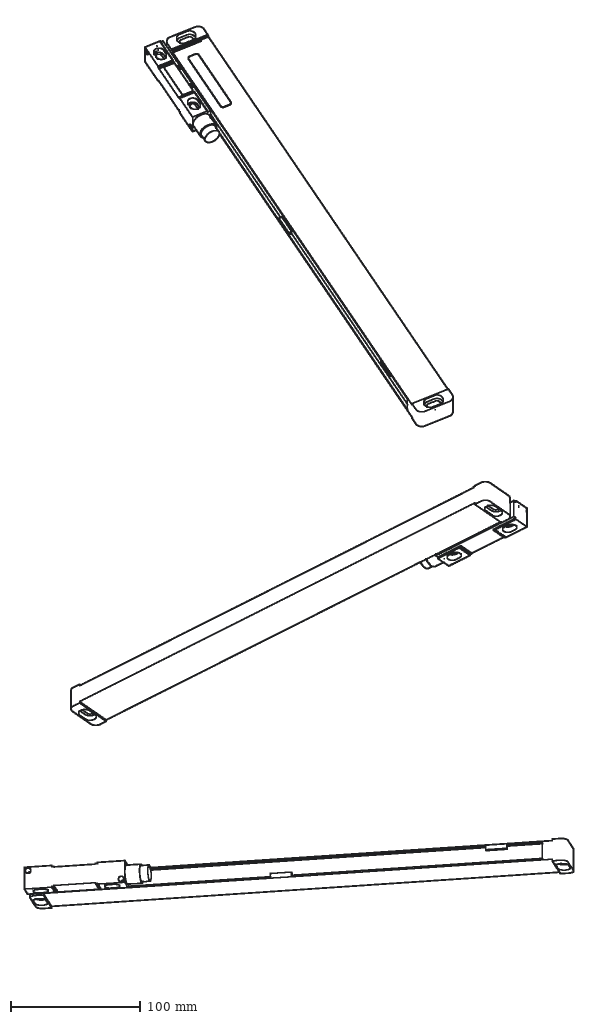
import cadquery as cq

TOTAL_LENGTH = 425.0
TOTAL_WIDTH = 49.0
HEIGHT = 18.0
SCALE_WIDTH = 32.0
CAP_LENGTH = 11.5
CAP_CORNER_RADIUS = 5.0
SURFACE_DROP = 1.3

CHANNEL_END_WALL = 19.0
CHANNEL_DEPTH = 2.5
LIP_THICKNESS = 1.3
TAB_LENGTH = 16.5
TAB_HEIGHT = 2.5
LOWER_TAB_X = 199.5
UPPER_TAB_X = 369.5

CAP_HOLE_INSET = 6.0
CAP_HOLE_STRAIGHT = 6.0
CAP_HOLE_WIDTH = 5.0
CAP_BORE_WIDTH = 9.8
CAP_BORE_DEPTH = 4.2

LABEL_START = 24.0
LABEL_LENGTH = 57.5
LABEL_WIDTH = 9.0
LABEL_CORNER_RADIUS = 2.0
LABEL_BACK_INSET = 15.5
LABEL_HEIGHT = 1.0

SEAL_WIDTH = 1.3
SEAL_HEIGHT = 1.0
SHORT_SEAL_HEIGHT = 0.5
SHORT_SEAL_BACK_INSET = 7.2

HEAD_LENGTH = 79.5
HEAD_WIDTH = 15.7
HEAD_STEP_WIDTH = 2.5
HEAD_STEP_DEPTH = 1.3

WAIST_INSET = 21.5
WAIST_LEDGE = 1.5
LEDGE_DEPTH = 1.0
WAIST_DEPTH = 1.3

PLATE_MARGIN = 0.5
PLATE_FRONT_INSET = 4.0
PLATE_CORNER_RADIUS = 1.3
PLATE_HEIGHT = 0.5

HEAD_HOLE_INSET = 11.5
HEAD_HOLE_Y = 7.2
HEAD_HOLE_STRAIGHT = 4.0
HEAD_HOLE_WIDTH = 4.5
HEAD_BORE_WIDTH = 8.0
HEAD_BORE_DEPTH = 5.0

CORNER_HOLE_RADIUS = 2.0
CORNER_HOLE_INSET = 3.0
CORNER_HOLE_DEPTH = 9.0
CORNER_PILOT_RADIUS = 1.0
CORNER_PILOT_DEPTH = 11.5

STRIP_SLOT_STRAIGHT = 3.0
STRIP_SLOT_WIDTH = 1.0
STRIP_SLOT_DEPTH = 2.0
STRIP_SLOT_SPACING = 20.5

COLLAR_DIAMETER = 15.0
COLLAR_LENGTH = 11.5
CABLE_END_DIAMETER = 12.8
CABLE_END_LENGTH = 6.5

SCALE_FRONT = TOTAL_WIDTH - SCALE_WIDTH
SCALE_MIDDLE_Y = SCALE_FRONT + SCALE_WIDTH / 2
PROFILE_BOTTOM = SURFACE_DROP
PROFILE_TOP = HEIGHT - SURFACE_DROP
PROFILE_HEIGHT = PROFILE_TOP - PROFILE_BOTTOM


def block(x, y, z, length, width, height):
    """Box with its lowest corner at (x, y, z)."""
    return cq.Workplane("XY").box(length, width, height, centered=False).translate((x, y, z))


def oblong(x, y, z, straight, width, height, angle):
    """Upright prism with an oblong outline, round at both ends."""
    outline = cq.Workplane("XY", origin=(x, y, z)).slot2D(straight + width, width, angle)
    return outline.extrude(height)


def counterbored_oblong(x, y, straight, hole_width, bore_width, bore_depth, angle):
    """Cutter for an oblong through hole with a counterbore at the top and the bottom."""
    cutter = oblong(x, y, 0, straight, hole_width, HEIGHT, angle)
    for z in (0, HEIGHT - bore_depth):
        cutter = cutter.union(oblong(x, y, z, straight, bore_width, bore_depth, angle))
    return cutter


def end_cap(x, outer_edges):
    """Scale end cap starting at x, with its two outer upright edges rounded."""
    cap = block(x, SCALE_FRONT, 0, CAP_LENGTH, SCALE_WIDTH, HEIGHT)
    return cap.faces(outer_edges).edges("|Z").fillet(CAP_CORNER_RADIUS)


def profile():
    """Long profile between the caps, with the front channel and its two tabs."""
    length = TOTAL_LENGTH - 2 * CAP_LENGTH
    body = block(CAP_LENGTH, SCALE_FRONT, PROFILE_BOTTOM, length, SCALE_WIDTH, PROFILE_HEIGHT)

    channel_bottom = PROFILE_BOTTOM + LIP_THICKNESS
    channel_height = PROFILE_HEIGHT - 2 * LIP_THICKNESS
    channel_length = TOTAL_LENGTH - 2 * CHANNEL_END_WALL
    body = body.cut(
        block(CHANNEL_END_WALL, SCALE_FRONT, channel_bottom, channel_length, CHANNEL_DEPTH, channel_height)
    )

    upper_tab_z = channel_bottom + channel_height - TAB_HEIGHT
    for middle_x, z in ((LOWER_TAB_X, channel_bottom), (UPPER_TAB_X, upper_tab_z)):
        start_x = middle_x - TAB_LENGTH / 2
        body = body.union(block(start_x, SCALE_FRONT, z, TAB_LENGTH, CHANNEL_DEPTH, TAB_HEIGHT))
    return body


def scale_label():
    """Thin raised label on top of the profile."""
    y = TOTAL_WIDTH - LABEL_BACK_INSET - LABEL_WIDTH
    label = block(LABEL_START, y, PROFILE_TOP, LABEL_LENGTH, LABEL_WIDTH, LABEL_HEIGHT)
    return label.edges("|Z").fillet(LABEL_CORNER_RADIUS)


def seal_strips():
    """Two raised steps on the profile beside the left cap, the second lower and shorter."""
    short_width = SCALE_WIDTH - SHORT_SEAL_BACK_INSET
    long_strip = block(CAP_LENGTH, SCALE_FRONT, PROFILE_TOP, SEAL_WIDTH, SCALE_WIDTH, SEAL_HEIGHT)
    short_strip = block(
        CAP_LENGTH + SEAL_WIDTH, SCALE_FRONT, PROFILE_TOP, SEAL_WIDTH, short_width, SHORT_SEAL_HEIGHT
    )
    return long_strip.union(short_strip)


def make_scale():
    scale = profile()
    scale = scale.union(end_cap(0, "<X"))
    scale = scale.union(end_cap(TOTAL_LENGTH - CAP_LENGTH, ">X"))
    scale = scale.union(scale_label())
    scale = scale.union(seal_strips())
    for x in (CAP_HOLE_INSET, TOTAL_LENGTH - CAP_HOLE_INSET):
        scale = scale.cut(
            counterbored_oblong(
                x, SCALE_MIDDLE_Y, CAP_HOLE_STRAIGHT, CAP_HOLE_WIDTH, CAP_BORE_WIDTH, CAP_BORE_DEPTH, 90
            )
        )
    return scale


def head_block():
    """Head body with a stepped waist and a lowered strip beside the scale, on top and bottom."""
    body = block(0, 0, 0, HEAD_LENGTH, HEAD_WIDTH, HEIGHT)
    for inset, depth in ((WAIST_INSET, LEDGE_DEPTH), (WAIST_INSET + WAIST_LEDGE, WAIST_DEPTH)):
        for z in (0, HEIGHT - depth):
            body = body.cut(block(inset, 0, z, HEAD_LENGTH - 2 * inset, HEAD_WIDTH, depth))
    strip_y = HEAD_WIDTH - HEAD_STEP_WIDTH
    for z in (0, HEIGHT - HEAD_STEP_DEPTH):
        body = body.cut(block(0, strip_y, z, HEAD_LENGTH, HEAD_STEP_WIDTH, HEAD_STEP_DEPTH))
    return body


def name_plate():
    """Thin plate on the lowered top of the head."""
    start_x = WAIST_INSET + WAIST_LEDGE + PLATE_MARGIN
    length = HEAD_LENGTH - 2 * start_x
    width = HEAD_WIDTH - HEAD_STEP_WIDTH - PLATE_FRONT_INSET
    plate = block(start_x, PLATE_FRONT_INSET, HEIGHT - WAIST_DEPTH, length, width, PLATE_HEIGHT)
    return plate.edges("|Z").fillet(PLATE_CORNER_RADIUS)


def corner_holes():
    """Blind front holes with a deeper pilot hole, at two opposite corners of the head."""
    upper_left = (CORNER_HOLE_INSET, HEIGHT - CORNER_HOLE_INSET)
    lower_right = (HEAD_LENGTH - CORNER_HOLE_INSET, CORNER_HOLE_INSET)
    centers = cq.Workplane("XZ").pushPoints([upper_left, lower_right])
    holes = centers.circle(CORNER_HOLE_RADIUS).extrude(-CORNER_HOLE_DEPTH)
    pilots = centers.circle(CORNER_PILOT_RADIUS).extrude(-CORNER_PILOT_DEPTH)
    return holes.union(pilots)


def strip_slots():
    """Two small blind slots in the lowered strip, either side of the middle of the head."""
    y = HEAD_WIDTH - HEAD_STEP_WIDTH / 2
    z = HEIGHT - HEAD_STEP_DEPTH - STRIP_SLOT_DEPTH
    left_x = (HEAD_LENGTH - STRIP_SLOT_SPACING) / 2
    left_slot = oblong(left_x, y, z, STRIP_SLOT_STRAIGHT, STRIP_SLOT_WIDTH, STRIP_SLOT_DEPTH, 0)
    return left_slot.union(left_slot.translate((STRIP_SLOT_SPACING, 0, 0)))


def cable_outlet():
    """Round collar and cable end on the right face of the head."""
    start = (HEAD_LENGTH, HEAD_WIDTH / 2, HEIGHT / 2)
    collar = cq.Workplane("YZ", origin=start).circle(COLLAR_DIAMETER / 2).extrude(COLLAR_LENGTH)
    return collar.faces(">X").workplane().circle(CABLE_END_DIAMETER / 2).extrude(CABLE_END_LENGTH)


def make_head():
    head = head_block().union(name_plate()).cut(corner_holes()).cut(strip_slots())
    head = head.union(cable_outlet())
    for x in (HEAD_HOLE_INSET, HEAD_LENGTH - HEAD_HOLE_INSET):
        head = head.cut(
            counterbored_oblong(
                x, HEAD_HOLE_Y, HEAD_HOLE_STRAIGHT, HEAD_HOLE_WIDTH, HEAD_BORE_WIDTH, HEAD_BORE_DEPTH, 0
            )
        )
    return head


scale_unit = make_scale()
reading_head = make_head()

result = cq.Compound.makeCompound([scale_unit.val(), reading_head.val()])